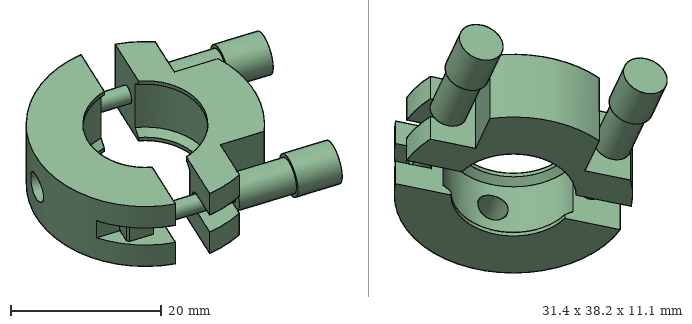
import cadquery as cq

overall_length = 38.15

ring_radius = 15.87
ring_height = 11.05
bore_radius = 8.3
half_gap = 2.48
cut_reach = 2 * ring_radius

lip_land = 0.65
lip_flank_height = 0.85
groove_radius = 9.4

boss_half_width = 7.65
shoulder_y = 7.55

radial_hole_diameter = 4.25

screw_x = 11.45
stem_diameter = 2.55
shank_diameter = 5.08
head_diameter = 6.1
head_length = 6.45
screw_top_y = overall_length - ring_radius
head_start_y = screw_top_y - head_length
stem_end_y = -5.72

slot_height = 3.13
front_slot_x = 10.65

block_height = 2.9
block_end_x = 13.15
block_front_y = -8.4
block_back_y = -4.58
block_chamfer = 0.3


def box_between(x_min, x_max, y_min, y_max, height):
    """Box between the given X and Y limits, centred on Z = 0."""
    box = cq.Workplane("XY").box(x_max - x_min, y_max - y_min, height)
    return box.translate(((x_min + x_max) / 2, (y_min + y_max) / 2, 0))


def rod(x, y_min, y_max, diameter):
    """Cylinder parallel to Y at height Z = 0."""
    plane = cq.Workplane("XZ", origin=(x, y_min, 0))
    return plane.circle(diameter / 2).extrude(y_min - y_max)


def make_bore():
    """Revolved bore with the wide groove between the two lips."""
    end = ring_height / 2
    land = end - lip_land
    flank = land - lip_flank_height
    profile = [
        (0, -end),
        (bore_radius, -end),
        (bore_radius, -land),
        (groove_radius, -flank),
        (groove_radius, flank),
        (bore_radius, land),
        (bore_radius, end),
        (0, end),
    ]
    return cq.Workplane("XZ").polyline(profile).close().revolve(360, (0, 0, 0), (0, 1, 0))


def make_ring():
    """Two ring halves with the boss, the shoulders and the radial hole."""
    ring = cq.Workplane("XY").cylinder(ring_height, ring_radius)
    ring = ring.cut(make_bore())
    ring = ring.cut(box_between(-cut_reach, cut_reach, -half_gap, half_gap, ring_height))
    ring = ring.cut(rod(0, -cut_reach, 0, radial_hole_diameter))
    for x_min, x_max in ((-cut_reach, -boss_half_width), (boss_half_width, cut_reach)):
        ring = ring.cut(box_between(x_min, x_max, shoulder_y, cut_reach, ring_height))
    return ring


def make_swing_slot():
    """Open slot through both halves, with a round end in the +Y half."""
    front = box_between(front_slot_x, cut_reach, -cut_reach, 0, slot_height)
    back = box_between(screw_x, cut_reach, 0, cut_reach, slot_height)
    round_end = rod(screw_x, 0, cut_reach, slot_height)
    return front.union(back).union(round_end)


def make_screw(x):
    """Screw with a thin stem, a shank resting on the shoulder and a head."""
    stem = rod(x, stem_end_y, shoulder_y, stem_diameter)
    shank = rod(x, shoulder_y, head_start_y, shank_diameter)
    head = rod(x, head_start_y, screw_top_y, head_diameter)
    return stem.union(shank).union(head)


def make_end_block():
    """Block on the stem of the swing screw, resting on the inner slot wall."""
    block = box_between(front_slot_x, block_end_x, block_front_y, block_back_y, block_height)
    return block.edges("|Z and >X and <Y").chamfer(block_chamfer)


result = make_ring().cut(make_swing_slot())
for side in (-1, 1):
    result = result.union(make_screw(side * screw_x))
result = result.union(make_end_block())